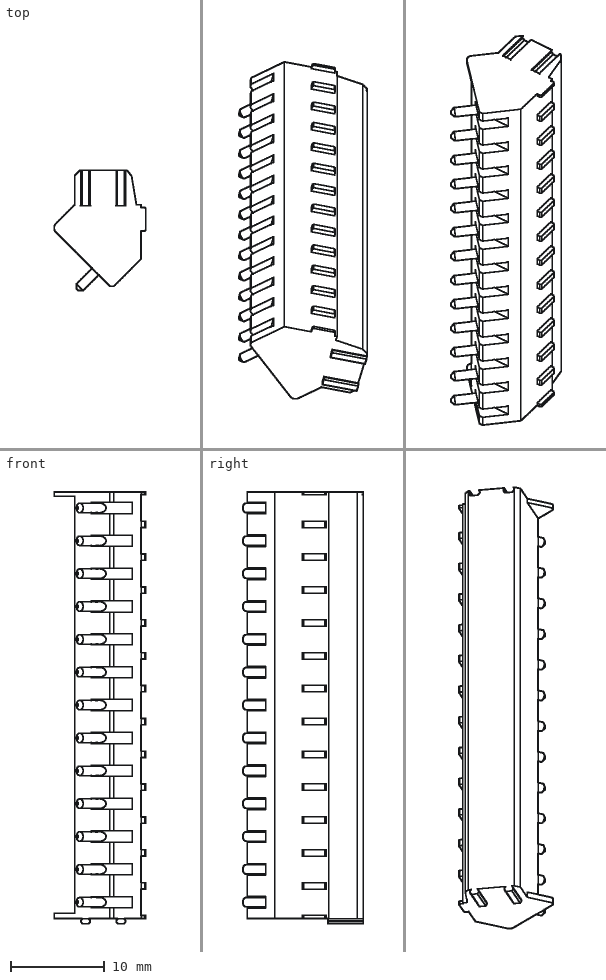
import cadquery as cq
import math

overall_height = 46
tongue_height = 0.55
housing_height = overall_height - tongue_height

head_left = 2.2
head_chamfer = 0.55
shoulder_y = -3.7
head_right_back = 8.3
head_right_front = 8.8
head_right_bevel = 0.5
head_right_bevel_length = 0.65
right_wall_x = 9.3
nose_y = -12.37
nose_width = 0.4

corner_radius = 0.65
top_plate_thickness = 0.45
bottom_plate_thickness = 0.6

pin_count = 13
pin_span = 42.0
pin_pitch = pin_span / (pin_count - 1)
top_pin_offset = 1.7
first_pin_z = housing_height - top_pin_offset - pin_span
pin_radius = 0.5
pin_tip_chamfer = 0.35
pin_tip_x = 2.5
pin_tip_y = -12.75
slot_floor_y = -10.4
slot_height = 1.2
pin_embed = 0.7

latch_depth = 0.5
latch_height = 0.7
latch_back_y = -3.95
latch_front_y = -6.5
latch_chamfer = 0.15

rail_length = 3.75
rail_centres = (3.35, 7.15)
waist_height = 0.1
tongue_neck_width = 0.7
tongue_width = 1.0
groove_mouth_width = 1.0
groove_width = 1.2
groove_floor_width = 0.75


def make_housing():
    """Extruded full section with the bay between the end plates cut away."""
    corner_x = -corner_radius * (math.sqrt(2) - 1)
    corner_y = shoulder_y - (head_left - corner_x)
    nose_left = corner_x + (corner_y - nose_y)
    nose_right = nose_left + nose_width
    right_wall_end_y = nose_y + (right_wall_x - nose_right)
    housing = (
        cq.Workplane("XY")
        .moveTo(head_left + head_chamfer, 0)
        .lineTo(head_right_back - head_right_bevel, 0)
        .lineTo(head_right_back, -head_right_bevel_length)
        .lineTo(head_right_front, shoulder_y)
        .lineTo(right_wall_x, shoulder_y)
        .lineTo(right_wall_x, right_wall_end_y)
        .lineTo(nose_right, nose_y)
        .lineTo(nose_left, nose_y)
        .lineTo(corner_x, corner_y)
        .lineTo(head_left, shoulder_y)
        .lineTo(head_left, -head_chamfer)
        .close()
        .extrude(housing_height)
    )
    housing = housing.edges("|Z and <X").fillet(corner_radius)
    bay_height = housing_height - top_plate_thickness - bottom_plate_thickness
    bay = cq.Workplane("XY").box(head_left, -nose_y, bay_height, centered=False)
    return housing.cut(bay.translate((0, nose_y, bottom_plate_thickness)))


def make_slot(z):
    """Slot across the nose, open to both sloping faces."""
    return (
        cq.Workplane("XY")
        .box(right_wall_x, slot_floor_y - nose_y, slot_height, centered=(False, False, True))
        .translate((0, nose_y, z))
    )


def make_pin(z):
    """Round pin rising from its tip at 45 degrees into the slot floor."""
    pin_length = (slot_floor_y - pin_tip_y) * math.sqrt(2) + pin_embed
    axis = cq.Plane(origin=(pin_tip_x, pin_tip_y, z), xDir=(1, -1, 0), normal=(1, 1, 0))
    return cq.Workplane(axis).circle(pin_radius).extrude(pin_length).faces("<Y").chamfer(pin_tip_chamfer)


def make_latch(z):
    """Latch block, trimmed where it would pass the housing ends."""
    bottom = max(z - latch_height / 2, 0)
    top = min(z + latch_height / 2, housing_height)
    return (
        cq.Workplane("XY")
        .box(latch_depth, latch_back_y - latch_front_y, top - bottom, centered=False)
        .edges("|Z and >X")
        .chamfer(latch_chamfer)
        .translate((right_wall_x, latch_front_y, bottom))
    )


def make_rail(x, top_z, mouth_width, waist_width, base_width):
    """Eight-sided bar along Y, reaching down from top_z and widest at mid depth."""
    waist_top_z = top_z - (tongue_height - waist_height) / 2
    waist_bottom_z = waist_top_z - waist_height
    base_z = top_z - tongue_height
    return (
        cq.Workplane("XZ")
        .moveTo(x - mouth_width / 2, top_z)
        .lineTo(x - waist_width / 2, waist_top_z)
        .lineTo(x - waist_width / 2, waist_bottom_z)
        .lineTo(x - base_width / 2, base_z)
        .lineTo(x + base_width / 2, base_z)
        .lineTo(x + waist_width / 2, waist_bottom_z)
        .lineTo(x + waist_width / 2, waist_top_z)
        .lineTo(x + mouth_width / 2, top_z)
        .close()
        .extrude(rail_length)
    )


result = make_housing()

for index in range(pin_count):
    pin_z = first_pin_z + index * pin_pitch
    result = result.cut(make_slot(pin_z)).union(make_pin(pin_z))

for index in range(pin_count + 1):
    result = result.union(make_latch(first_pin_z + (index - 0.5) * pin_pitch))

for rail_x in rail_centres:
    tongue = make_rail(rail_x, 0, tongue_neck_width, tongue_width, tongue_neck_width)
    groove = make_rail(rail_x, housing_height, groove_mouth_width, groove_width, groove_floor_width)
    result = result.union(tongue).cut(groove)